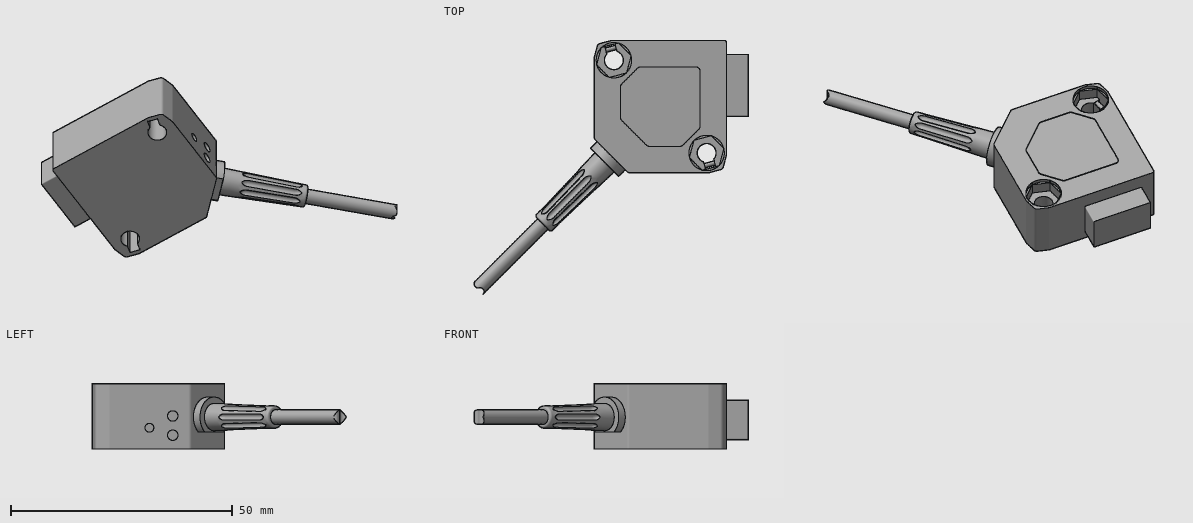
import cadquery as cq
import math

SIDE = 30.0
HEIGHT = 14.85
HALF = SIDE / 2
CABLE_CORNER_CUT = 7.75
CABLE_CORNER_ROUND = 0.9
PLAIN_CORNER_ROUND = 0.5
FACET_LENGTH = 4.0
FACET_ANGLE = 15
FACET_ROUND = 0.9

SCREW_OFFSET = 10.5
SCREW_HOLE_DIAMETER = 4.2
RECESS_DIAMETER = 8.0
RECESS_DEPTH = 0.9
NUT_ACROSS_FLATS = 7.0
NUT_DEPTH = 3.7
NUT_TURN = 15

NOTCH_WIDTH = 2.35
NOTCH_DIRECTION = NUT_TURN + 90
BAR_DIAMETER = 1.05
BAR_OFFSET = 2.7
BAR_OVERLAP = 0.1

PANEL_SIDE = 18.0
PANEL_DEPTH = 0.2
PANEL_CABLE_CUT = 6.15
PANEL_SCREW_CUT = 4.15
PANEL_ROUND = 1.0

CONNECTOR_REACH = 4.95
CONNECTOR_WIDTH = 14.1
CONNECTOR_HEIGHT = 9.0
CONNECTOR_Y = 4.8
CONNECTOR_Z = 6.6
CONNECTOR_ROUND = 0.3

INDICATORS = [(2.05, 4.85, 2.0), (-3.2, 7.5, 2.35), (-3.2, 3.15, 2.35)]
INDICATOR_DEPTH = 1.0

CABLE_Z = 7.25
CABLE_ANGLE = 225
OUTLET_START = 12.4
COLLAR_RADIUS = 4.55
COLLAR_END = 17.8
COLLAR_FLAT = 3.4
BOOT_END = 37.55
BOOT_BASE_RADIUS = 3.1
BOOT_TIP_RADIUS = 2.55
BOOT_TIP_ROUND = 0.5
CABLE_RADIUS = 1.7

GROOVE_COUNT = 8
GROOVE_START = 22.2
GROOVE_END = 36.2
GROOVE_RADIUS = 0.715
GROOVE_TIP = 1.4

BREAK_OUTER = 57.35
BREAK_CREST = 58.4
BREAK_CREST_SIDE = 1.0
BREAK_MIDDLE = 58.05
BREAK_DIP = 57.55
BREAK_TIP = 58.4


def round_upright_edges(solid, points, radius):
    """Fillet the vertical housing edges that pass through the given X, Y points."""
    for x, y in points:
        solid = solid.edges(cq.NearestToPointSelector((x, y, HEIGHT / 2))).fillet(radius)
    return solid


def make_housing():
    """Square block with one 45 degree corner and two faceted screw corners."""
    slope = math.tan(math.radians(FACET_ANGLE))
    inset = FACET_LENGTH * slope / (1 + slope)
    far = HALF - FACET_LENGTH
    tip = HALF - inset
    cut = HALF - CABLE_CORNER_CUT
    outline = [
        (-HALF, -cut), (-cut, -HALF),
        (far, -HALF), (tip, -tip), (HALF, -far),
        (HALF, HALF),
        (-far, HALF), (-tip, tip), (-HALF, far),
    ]
    body = cq.Workplane("XY").polyline(outline).close().extrude(HEIGHT)
    body = round_upright_edges(body, [(-HALF, -cut), (-cut, -HALF)], CABLE_CORNER_ROUND)
    body = round_upright_edges(body, [(HALF, HALF)], PLAIN_CORNER_ROUND)
    return round_upright_edges(body, [(tip, -tip), (-tip, tip)], FACET_ROUND)


def make_panel():
    """Cutter for the panel, square with three corners cut off."""
    half = PANEL_SIDE / 2
    low = half - PANEL_CABLE_CUT
    high = half - PANEL_SCREW_CUT
    outline = [
        (-half, -low), (-low, -half),
        (high, -half), (half, -high),
        (half, half),
        (-high, half), (-half, high),
    ]
    panel = cq.Workplane("XY", origin=(0, 0, HEIGHT - PANEL_DEPTH)).polyline(outline).close()
    return panel.extrude(PANEL_DEPTH).edges("|Z").fillet(PANEL_ROUND)


def make_screw_hole():
    """Cutter for one stepped screw hole on the Z axis."""
    hole = cq.Workplane("XY").circle(SCREW_HOLE_DIAMETER / 2).extrude(HEIGHT)
    across_corners = NUT_ACROSS_FLATS / math.cos(math.radians(30))
    nut = (
        cq.Workplane("XY", origin=(0, 0, HEIGHT - NUT_DEPTH))
        .polygon(6, across_corners)
        .extrude(NUT_DEPTH)
        .rotate((0, 0, 0), (0, 0, 1), NUT_TURN)
    )
    recess = (
        cq.Workplane("XY", origin=(0, 0, HEIGHT - RECESS_DEPTH))
        .circle(RECESS_DIAMETER / 2)
        .extrude(RECESS_DEPTH)
    )
    return hole.union(nut).union(recess)


def make_notch():
    """Cutter reaching from the screw axis to a flat of the nut pocket, turned to its direction."""
    notch = (
        cq.Workplane("XY")
        .center(NUT_ACROSS_FLATS / 4, 0)
        .rect(NUT_ACROSS_FLATS / 2, NOTCH_WIDTH)
        .extrude(HEIGHT - NUT_DEPTH)
    )
    return notch.rotate((0, 0, 0), (0, 0, 1), NOTCH_DIRECTION)


def make_bar():
    """Round bar across the notch, level with the pocket floor."""
    axis_z = HEIGHT - NUT_DEPTH - BAR_DIAMETER / 2
    bar = (
        cq.Workplane("XZ", origin=(BAR_OFFSET, 0, axis_z))
        .circle(BAR_DIAMETER / 2)
        .extrude(NOTCH_WIDTH / 2 + BAR_OVERLAP, both=True)
    )
    return bar.rotate((0, 0, 0), (0, 0, 1), NOTCH_DIRECTION)


def make_connector():
    """Block with rounded long edges, flush against the +X side."""
    return (
        cq.Workplane("YZ", origin=(HALF, CONNECTOR_Y, CONNECTOR_Z))
        .rect(CONNECTOR_WIDTH, CONNECTOR_HEIGHT)
        .extrude(CONNECTOR_REACH)
        .edges("|X")
        .fillet(CONNECTOR_ROUND)
    )


def make_collar():
    """Disc with a flat underside, along +X."""
    length = COLLAR_END - OUTLET_START
    disc = cq.Workplane("YZ", origin=(OUTLET_START, 0, 0)).circle(COLLAR_RADIUS).extrude(length)
    above_flat = cq.Workplane("XY").box(
        length, 2 * COLLAR_RADIUS, COLLAR_FLAT + COLLAR_RADIUS, centered=(False, True, False)
    )
    return disc.intersect(above_flat.translate((OUTLET_START, 0, -COLLAR_FLAT)))


def make_groove():
    """Spindle-shaped cutter whose axis lies on the surface of the tapered boot."""
    length = GROOVE_END - GROOVE_START
    slope = (BOOT_BASE_RADIUS - BOOT_TIP_RADIUS) / (BOOT_END - COLLAR_END)
    taper = math.degrees(math.atan(slope))
    start_radius = BOOT_BASE_RADIUS - slope * (GROOVE_START - COLLAR_END)
    tip_radius = (GROOVE_TIP**2 + GROOVE_RADIUS**2) / (2 * GROOVE_RADIUS)
    spindle = (
        cq.Workplane("XY")
        .moveTo(GROOVE_TIP, GROOVE_RADIUS)
        .lineTo(length - GROOVE_TIP, GROOVE_RADIUS)
        .radiusArc((length, 0), tip_radius)
        .lineTo(0, 0)
        .radiusArc((GROOVE_TIP, GROOVE_RADIUS), tip_radius)
        .close()
        .revolve(360, (0, 0, 0), (1, 0, 0))
    )
    return (
        spindle.rotate((0, 0, 0), (0, 1, 0), taper)
        .translate((GROOVE_START, 0, start_radius))
    )


def make_boot():
    """Tapered strain relief along +X with evenly spaced grip grooves."""
    boot = (
        cq.Workplane("XZ")
        .polyline([
            (OUTLET_START, 0),
            (OUTLET_START, BOOT_BASE_RADIUS),
            (COLLAR_END, BOOT_BASE_RADIUS),
            (BOOT_END, BOOT_TIP_RADIUS),
            (BOOT_END, 0),
        ])
        .close()
        .revolve(360, (0, 0, 0), (1, 0, 0))
        .faces(">X").edges().fillet(BOOT_TIP_ROUND)
    )
    groove = make_groove()
    for index in range(GROOVE_COUNT):
        boot = boot.cut(groove.rotate((0, 0, 0), (1, 0, 0), index * 360 / GROOVE_COUNT))
    return boot


def make_cable():
    """Round cable along +X, broken off along an S-shaped curve."""
    cable = cq.Workplane("YZ", origin=(OUTLET_START, 0, 0)).circle(CABLE_RADIUS)
    cable = cable.extrude(BREAK_TIP - OUTLET_START)
    keep = (
        cq.Workplane("XY", origin=(0, 0, -CABLE_RADIUS))
        .moveTo(OUTLET_START, -CABLE_RADIUS)
        .lineTo(BREAK_OUTER, -CABLE_RADIUS)
        .threePointArc((BREAK_CREST, -BREAK_CREST_SIDE), (BREAK_MIDDLE, 0))
        .threePointArc((BREAK_DIP, CABLE_RADIUS / 2), (BREAK_TIP, CABLE_RADIUS))
        .lineTo(OUTLET_START, CABLE_RADIUS)
        .close()
        .extrude(2 * CABLE_RADIUS)
    )
    return cable.intersect(keep)


housing = make_housing().cut(make_panel())
screw_hole = make_screw_hole().union(make_notch())
bar = make_bar()
for turn in (0, 180):
    center = (-SCREW_OFFSET, SCREW_OFFSET, 0)
    placed_hole = screw_hole.translate(center).rotate((0, 0, 0), (0, 0, 1), turn)
    placed_bar = bar.translate(center).rotate((0, 0, 0), (0, 0, 1), turn)
    housing = housing.cut(placed_hole).union(placed_bar)
for y, z, diameter in INDICATORS:
    indicator = cq.Workplane("YZ", origin=(-HALF, y, z)).circle(diameter / 2)
    housing = housing.cut(indicator.extrude(INDICATOR_DEPTH))

outlet = make_collar().union(make_boot()).union(make_cable())
outlet = outlet.rotate((0, 0, 0), (0, 0, 1), CABLE_ANGLE).translate((0, 0, CABLE_Z))

result = housing.union(make_connector()).union(outlet)